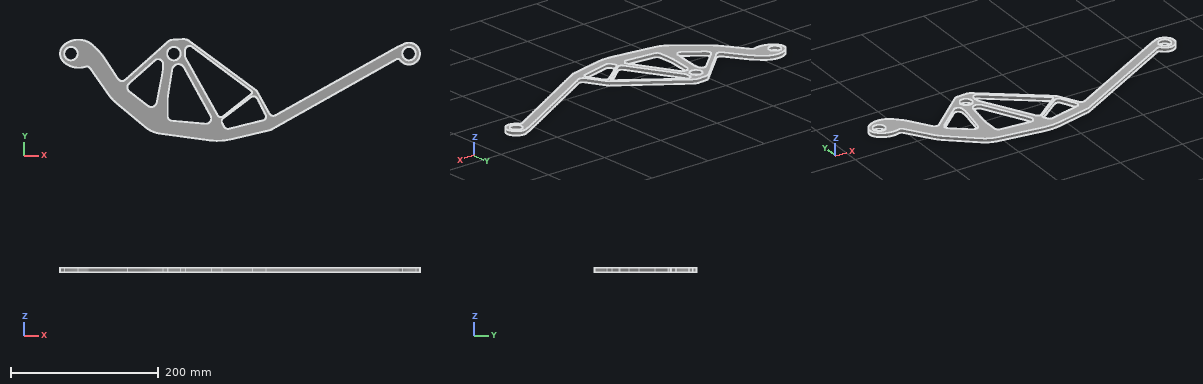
import cadquery as cq
import math

thickness = 6.3
hole_diameter = 18.0
eye_radius = 15.0
middle_hole_x = 140.0
right_hole_x = 459.9

head_blend_angle = 45.0
upper_head_radius = 29.3
lower_head_radius = 30.1
upper_head_end_angle = 44.0
lower_head_end_angle = 295.5

neck_fillet = 5.0
right_eye_fillet = 4.0

lower_corners = [
    (55.3, -61.9, 60.0),
    (109.9, -107.4, 40.0),
    (203.3, -120.1, 78.0),
    (271.6, -104.0, 10.0),
]

arm_bottom_end = (452.0, -2.6)
arm_shoulder = (453.0, 12.8)

upper_corners = [
    (445.2, 9.8, 10.0),
    (272.9, -86.7, 6.0),
    (252.8, -50.4, 5.0),
    (157.0, 20.2, 13.0),
    (134.8, 19.0, 12.0),
    (68.2, -40.5, 6.5),
    (41.6, 0.0, 60.0),
]

left_pocket = [
    (72.8, -46.2, 7.2),
    (114.3, -78.3, 7.5),
    (125.1, -22.0, 60.0),
    (125.2, 0.4, 6.5),
]
middle_pocket = [
    (131.7, -90.6, 6.0),
    (196.2, -96.4, 7.0),
    (141.8, 2.7, 8.4),
    (131.7, -60.0, 60.0),
]
upper_pocket = [
    (202.5, -88.7, 5.0),
    (247.9, -52.7, 2.5),
    (155.3, 16.3, 6.0),
    (155.3, -4.6, 10.0),
]
right_pocket = [
    (203.8, -90.5, 5.0),
    (210.4, -103.2, 6.0),
    (267.4, -89.0, 4.8),
    (250.4, -55.2, 6.0),
]


def toward(start, end, distance):
    """The point at a distance from start, in the direction of end."""
    span = math.dist(start, end)
    return (
        start[0] + (end[0] - start[0]) * distance / span,
        start[1] + (end[1] - start[1]) * distance / span,
    )


def polar(center, radius, angle):
    """The point on a circle at an angle in degrees."""
    turn = math.radians(angle)
    return (center[0] + radius * math.cos(turn), center[1] + radius * math.sin(turn))


def corner_arc(before, corner, after, radius):
    """Start, middle and end of the arc that rounds a corner between two straight sides."""
    angle_in = math.atan2(before[1] - corner[1], before[0] - corner[0])
    angle_out = math.atan2(after[1] - corner[1], after[0] - corner[0])
    half_angle = abs(math.remainder(angle_out - angle_in, 2 * math.pi)) / 2
    tangent_length = radius / math.tan(half_angle)
    start = toward(corner, before, tangent_length)
    end = toward(corner, after, tangent_length)
    chord_middle = ((start[0] + end[0]) / 2, (start[1] + end[1]) / 2)
    middle_gap = radius / math.sin(half_angle) - radius
    return start, toward(corner, chord_middle, middle_gap), end


def add_rounded_corners(path, before, corners, after):
    """Continue a path along rounded corners, from the point before them to the point after."""
    points = [before] + [corner[:2] for corner in corners] + [after]
    for index, corner in enumerate(corners):
        start, middle, end = corner_arc(*points[index:index + 3], corner[2])
        path = path.lineTo(*start).threePointArc(middle, end)
    return path


def make_pocket(corners):
    """Through-cutter with rounded corners."""
    first = corners[0][:2]
    last = corners[-1][:2]
    start = toward(last, first, math.dist(last, first) / 2)
    path = add_rounded_corners(cq.Workplane("XY").moveTo(*start), start, corners, start)
    return path.close().extrude(thickness)


def add_arc(path, center, radius, start_angle, end_angle):
    """Continue a path along a circle; the path already stands at the start angle."""
    middle = polar(center, radius, (start_angle + end_angle) / 2)
    return path.threePointArc(middle, polar(center, radius, end_angle))


def vertical_edge_near(x, y):
    """Selector of the edge through the plate nearest to a point."""
    return cq.selectors.NearestToPointSelector((x, y, thickness / 2))


def make_body():
    """Solid outline of the plate, without pockets or holes."""
    upper_blend = 180 - head_blend_angle
    lower_blend = 180 + head_blend_angle
    eye_center = (0, 0)
    upper_center = polar(eye_center, eye_radius - upper_head_radius, upper_blend)
    lower_center = polar(eye_center, eye_radius - lower_head_radius, lower_blend)
    upper_end = polar(upper_center, upper_head_radius, upper_head_end_angle)
    neck = polar(lower_center, lower_head_radius, lower_head_end_angle)

    path = cq.Workplane("XY").moveTo(*neck)
    path = add_rounded_corners(path, neck, lower_corners, arm_bottom_end)
    path = path.lineTo(*arm_bottom_end).lineTo(right_hole_x, 0).lineTo(*arm_shoulder)
    path = add_rounded_corners(path, arm_shoulder, upper_corners, upper_end)
    path = path.lineTo(*upper_end)
    path = add_arc(path, upper_center, upper_head_radius, upper_head_end_angle, upper_blend)
    path = add_arc(path, eye_center, eye_radius, upper_blend, lower_blend)
    path = add_arc(path, lower_center, lower_head_radius, lower_blend, lower_head_end_angle)
    right_eye = cq.Workplane("XY").center(right_hole_x, 0).circle(eye_radius).extrude(thickness)
    body = path.close().extrude(thickness).union(right_eye)

    body = body.edges(vertical_edge_near(*neck)).fillet(neck_fillet)
    under_eye = (right_hole_x - eye_radius, -eye_radius / 2)
    return body.edges(vertical_edge_near(*under_eye)).fillet(right_eye_fillet)


def make_holes():
    """Cutter for the three mounting holes."""
    centers = [(0, 0), (middle_hole_x, 0), (right_hole_x, 0)]
    return cq.Workplane("XY").pushPoints(centers).circle(hole_diameter / 2).extrude(thickness)


result = make_body().cut(make_holes())
for pocket in (left_pocket, middle_pocket, upper_pocket, right_pocket):
    result = result.cut(make_pocket(pocket))